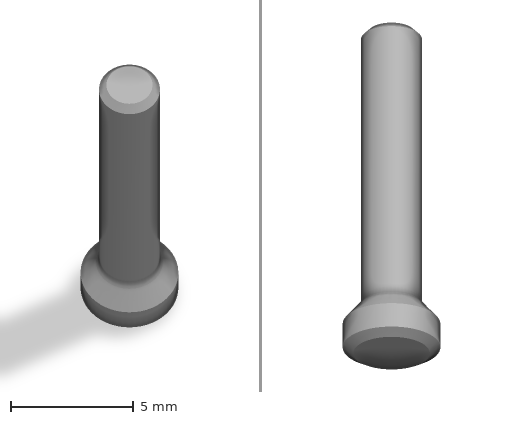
import cadquery as cq
import math

total_length = 14.5
head_radius = 2.0
shank_radius = 1.25
head_shoulder_height = 1.32
cone_half_angle = math.radians(40)
neck_fillet_radius = 0.5
tip_chamfer = 0.3
base_chamfer_width = 0.44
base_chamfer_height = 0.26

cone_height = (head_radius - shank_radius) / math.tan(cone_half_angle)
neck_corner_height = head_shoulder_height + cone_height
neck_top_height = neck_corner_height + neck_fillet_radius * math.tan(cone_half_angle / 2)
fillet_center_radius = shank_radius + neck_fillet_radius


def neck_arc_point(angle):
    """Point on the neck fillet, turned by angle from its upper end."""
    return (
        fillet_center_radius - neck_fillet_radius * math.cos(angle),
        neck_top_height - neck_fillet_radius * math.sin(angle),
    )


half_section = (
    cq.Workplane("XZ")
    .lineTo(head_radius - base_chamfer_width, 0)
    .lineTo(head_radius, base_chamfer_height)
    .lineTo(head_radius, head_shoulder_height)
    .lineTo(*neck_arc_point(cone_half_angle))
    .threePointArc(neck_arc_point(cone_half_angle / 2), (shank_radius, neck_top_height))
    .lineTo(shank_radius, total_length - tip_chamfer)
    .lineTo(shank_radius - tip_chamfer, total_length)
    .lineTo(0, total_length)
    .close()
)

result = half_section.revolve(360, (0, 0, 0), (0, 1, 0))